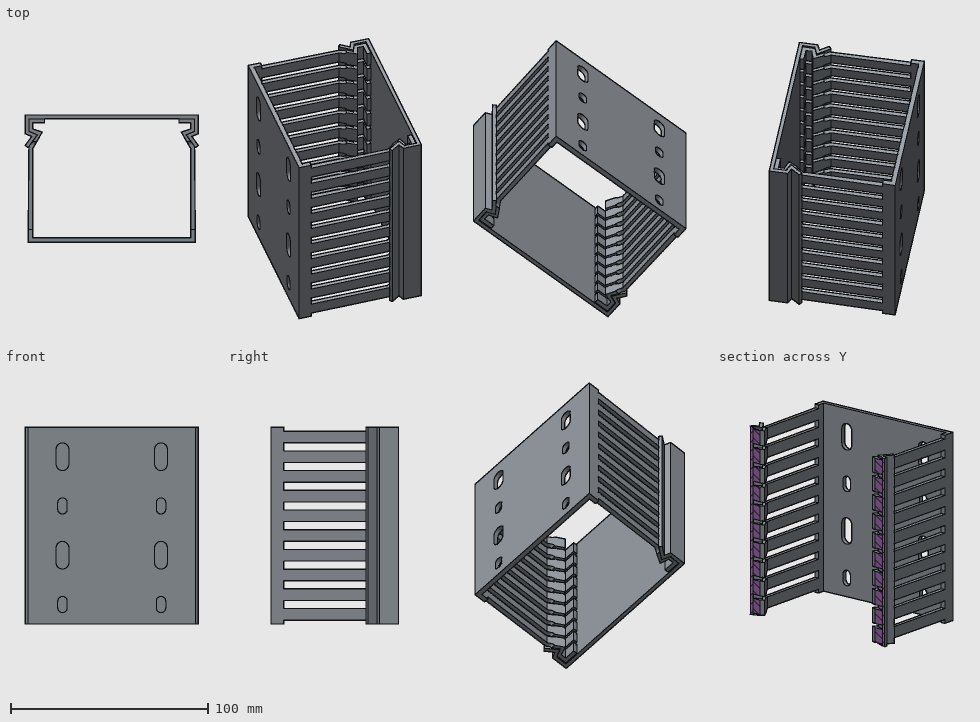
import cadquery as cq
import math


length = 100.0
depth = 64.7

cover_half_width = 44.0
cover_plate = 2.0
cover_wall = 1.9
skirt_depth = 9.6
groove_x = 40.7
groove_depth = 10.95
hook_tip_depth = 15.5

base_half_width = 42.5
base_plate = 2.5
inner_half_width = 40.0
lip_thickness = 2.1
lip_inner_x = 34.0
head_bend_depth = 7.1
inner_apex_x = 35.2
inner_apex_depth = 8.7
inner_bend_depth = 17.0

pitch = 10.0
finger_width = 6.0
head_width = 8.0
slot_floor = 6.6
head_start_depth = 13.55
overcut = 1.0

mount_x = 25.0
mount_pitch = 50.0
large_slot = (14.0, 6.5)
large_slot_z = 35.0
small_slot = (8.2, 4.8)
small_slot_z = 10.0


def symmetric_extrusion(right_points):
    """Mirror the right half of a section, an ordered list of points, and extrude it."""
    left_points = [(-x, y) for x, y in reversed(right_points)]
    outline = right_points + left_points
    return cq.Workplane("XY").polyline(outline).close().extrude(length)


def offset_path(path, distance):
    """Offset an open path to its right by the given distance, with mitred corners."""
    normals = []
    for (x0, y0), (x1, y1) in zip(path, path[1:]):
        span = math.hypot(x1 - x0, y1 - y0)
        normals.append(((y1 - y0) / span, (x0 - x1) / span))
    normals = [normals[0]] + normals + [normals[-1]]
    moved = []
    for (x, y), (ax, ay), (bx, by) in zip(path, normals, normals[1:]):
        mitre = distance / (1 + ax * bx + ay * by)
        moved.append((x + mitre * (ax + bx), y + mitre * (ay + by)))
    return moved


cover_outside = [
    (cover_half_width, depth),
    (cover_half_width, depth - skirt_depth),
    (groove_x, depth - groove_depth),
    (cover_half_width, depth - hook_tip_depth),
]
_, skirt_end, snap_apex, hook_tip = offset_path(cover_outside, cover_wall)
skirt_inner_x = cover_half_width - cover_wall
lip_top = depth - cover_plate

hook_slope = (hook_tip[1] - snap_apex[1]) / (hook_tip[0] - snap_apex[0])
outer_bend = (skirt_inner_x, snap_apex[1] + hook_slope * (skirt_inner_x - snap_apex[0]))
finger_outside = [(lip_inner_x, lip_top), (skirt_inner_x, lip_top), skirt_end, snap_apex, outer_bend]
finger_inside = [
    (lip_inner_x, lip_top - lip_thickness),
    (inner_half_width, lip_top - lip_thickness),
    (inner_half_width, depth - head_bend_depth),
    (inner_apex_x, depth - inner_apex_depth),
    (inner_half_width, depth - inner_bend_depth),
]


def make_cover():
    inside = [hook_tip, snap_apex, skirt_end, (skirt_inner_x, lip_top)]
    return symmetric_extrusion(cover_outside + inside)


def trunk_profile():
    wall = [(base_half_width, 0)] + finger_outside[::-1]
    return symmetric_extrusion(wall + finger_inside + [(inner_half_width, base_plate)])


def finger_slots():
    """Full-width cutters between fingers: a wide gap with a round end, then a narrow gap between heads."""
    half_gap = (pitch - finger_width) / 2
    half_head_gap = (pitch - head_width) / 2
    head_y = depth - head_start_depth
    round_y = head_y - math.sqrt(half_gap**2 - half_head_gap**2)
    half_width = base_half_width + overcut
    slot_count = round(length / pitch) + 1
    diagonal = half_gap * math.sqrt(0.5)
    slot = (
        cq.Workplane("YZ")
        .workplane(offset=-half_width)
        .moveTo(slot_floor, -half_gap)
        .lineTo(round_y, -half_gap)
        .threePointArc((round_y + diagonal, -diagonal), (head_y, -half_head_gap))
        .lineTo(lip_top, -half_head_gap)
        .lineTo(lip_top, half_head_gap)
        .lineTo(head_y, half_head_gap)
        .threePointArc((round_y + diagonal, diagonal), (round_y, half_gap))
        .lineTo(slot_floor, half_gap)
        .close()
        .extrude(2 * half_width)
    )
    return [slot.translate((0, 0, index * pitch)).val() for index in range(slot_count)]


def mounting_slots():
    cutters = []
    for (slot_length, slot_width), first_z in ((large_slot, large_slot_z), (small_slot, small_slot_z)):
        centres = [(x, first_z + row * mount_pitch) for x in (-mount_x, mount_x) for row in range(2)]
        cutters += (
            cq.Workplane("XZ")
            .pushPoints(centres)
            .slot2D(slot_length, slot_width, 90)
            .extrude(-base_plate)
            .vals()
        )
    return cutters


def make_trunk():
    trunk = trunk_profile()
    for cutter in finger_slots() + mounting_slots():
        trunk = trunk.cut(cq.Workplane(cutter))
    return trunk


cover = make_cover()
trunk = make_trunk()

result = cq.Compound.makeCompound([cover.val(), trunk.val()])